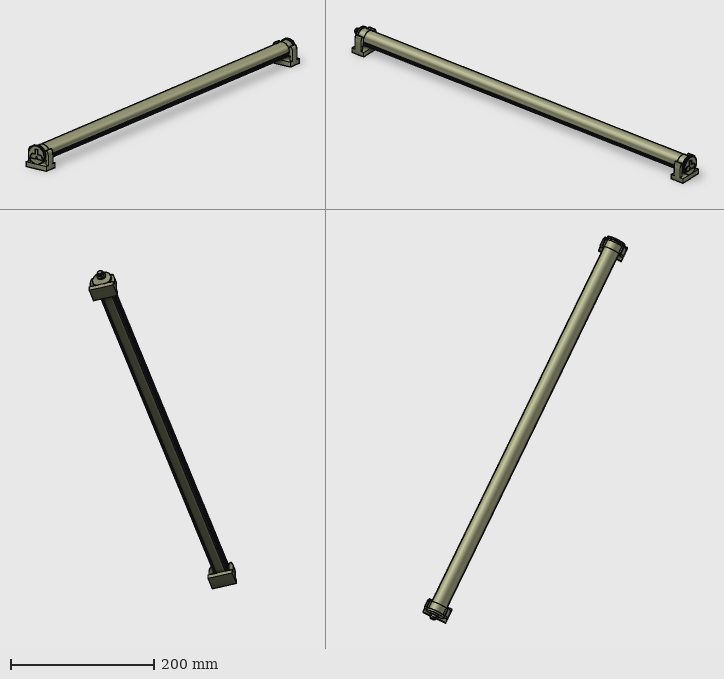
import cadquery as cq
import math

OVERALL_LENGTH = 596.5
MOUNT_SPAN = 590.0
OVERALL_HEIGHT = 34.0

FOOT_WIDTH = 35.0
FOOT_LENGTH = 21.0
FOOT_HEIGHT = 7.0

ARM_LENGTH = 11.0
ARM_CREST_SPACING = 29.0
ARM_SHOULDER_Z = 19.5
ARM_TOP_Z = 28.5
SHOULDER_RADIUS = 15.0
NOSE_GAP = 22.0
LEAD_IN_DROP = 3.0
NOSE_BOTTOM_Z = 15.5

TUBE_DIAMETER = 23.0
GROOVE_COUNT = 3
GROOVE_DEPTH = 1.0
GROOVE_HEIGHT = 1.5
GROOVE_PITCH = 3.0
TOP_GROOVE_Z = 18.0

JOURNAL_RADIUS = 12.0
FLANGE_DIAMETER = 27.0
FLANGE_THICKNESS = 3.0
RIM_GROOVE_WIDTH = 0.9
RIM_GROOVE_DEPTH = 0.5

RECESS_DEPTH = 1.0
RECESS_TOP_Z = 21.5
RECESS_SIDE_Z = 18.0
RECESS_BOTTOM_Z = 14.5
RECESS_TOP_WIDTH = 15.5
RECESS_WIDTH = 20.0
RECESS_NOTCH_WIDTH = 3.5
KEY_WIDTH = 5.0
KEY_TOP_Z = 28.5

CONNECTOR_Z = 25.0
COLLAR_RADIUS = 6.0
COLLAR_LENGTH = 2.5
NECK_RADIUS = 3.5
HEAD_RADIUS = 4.0
HEAD_LENGTH = 3.0
HEAD_CHAMFER = 0.9

tube_radius = TUBE_DIAMETER / 2
flange_radius = FLANGE_DIAMETER / 2
axis_height = OVERALL_HEIGHT - flange_radius
arm_inner_x = flange_radius
arm_crest_x = ARM_CREST_SPACING / 2
nose_x = NOSE_GAP / 2

arm_start = (FOOT_LENGTH - ARM_LENGTH) / 2
arm_end = arm_start + ARM_LENGTH
cover_thickness = arm_start - FLANGE_THICKNESS
far_arm_start = MOUNT_SPAN - arm_end
far_arm_end = MOUNT_SPAN - arm_start
lamp_end = far_arm_end + FLANGE_THICKNESS


def rod(radius, start, end, height=axis_height):
    """Round bar along Y from start to end, centred on X = 0."""
    return cq.Workplane("XZ", origin=(0, start, height)).circle(radius).extrude(start - end)


def make_bracket():
    """Foot with two arms that clip around the lamp journal."""
    foot = cq.Workplane("XY").box(
        FOOT_WIDTH, FOOT_LENGTH, FOOT_HEIGHT, centered=(True, False, False)
    )
    arm_wall_top_z = NOSE_BOTTOM_Z - (arm_inner_x - nose_x)
    arm = (
        cq.Workplane("XZ", origin=(0, arm_start, 0))
        .moveTo(arm_inner_x, 0)
        .lineTo(FOOT_WIDTH / 2, 0)
        .lineTo(FOOT_WIDTH / 2, ARM_SHOULDER_Z)
        .radiusArc((arm_crest_x, ARM_TOP_Z), -SHOULDER_RADIUS)
        .lineTo(arm_inner_x, ARM_TOP_Z)
        .lineTo(nose_x, ARM_TOP_Z - LEAD_IN_DROP)
        .lineTo(nose_x, NOSE_BOTTOM_Z)
        .lineTo(arm_inner_x, arm_wall_top_z)
        .close()
        .extrude(-ARM_LENGTH)
    )
    arms = arm.union(arm.mirror("YZ"))
    return foot.union(arms).cut(rod(JOURNAL_RADIUS, arm_start, arm_end))


def make_tube():
    """Tube between the brackets, with lengthwise grooves on both sides of its lower half."""
    length = far_arm_start - arm_end
    tube = rod(tube_radius, arm_end, far_arm_start)
    for index in range(GROOVE_COUNT):
        groove_z = TOP_GROOVE_Z - index * GROOVE_PITCH
        drop = axis_height - groove_z
        half_chord = math.sqrt(tube_radius**2 - drop**2)
        for side in (-1, 1):
            groove = cq.Workplane("XY").box(
                2 * GROOVE_DEPTH, length, GROOVE_HEIGHT, centered=(True, False, True)
            )
            tube = tube.cut(groove.translate((side * half_chord, arm_end, groove_z)))
    return tube


def make_face_recess():
    """Shallow recess with a key slot rising from its top edge."""
    return (
        cq.Workplane("XZ")
        .moveTo(0, KEY_TOP_Z)
        .lineTo(KEY_WIDTH / 2, KEY_TOP_Z)
        .lineTo(KEY_WIDTH / 2, RECESS_TOP_Z)
        .lineTo(RECESS_TOP_WIDTH / 2, RECESS_TOP_Z)
        .lineTo(RECESS_WIDTH / 2, RECESS_SIDE_Z)
        .lineTo(RECESS_WIDTH / 2, RECESS_BOTTOM_Z)
        .lineTo(RECESS_NOTCH_WIDTH / 2, RECESS_BOTTOM_Z)
        .lineTo(0, RECESS_SIDE_Z)
        .mirrorY()
        .extrude(-RECESS_DEPTH)
    )


def make_lamp():
    """Tube with a journal and a flange at each end; the near flange carries a cover plate."""
    groove_end = cover_thickness + RIM_GROOVE_WIDTH
    lamp = make_tube()
    lamp = lamp.union(rod(JOURNAL_RADIUS, arm_start, arm_end))
    lamp = lamp.union(rod(JOURNAL_RADIUS, far_arm_start, far_arm_end))
    lamp = lamp.union(rod(flange_radius, far_arm_end, lamp_end))
    lamp = lamp.union(rod(flange_radius, groove_end, arm_start))
    lamp = lamp.union(rod(flange_radius - RIM_GROOVE_DEPTH, cover_thickness, groove_end))
    lamp = lamp.union(rod(flange_radius, 0, cover_thickness))
    return lamp.cut(make_face_recess())


def make_connector():
    """Collar, neck and chamfered head standing on the far end of the lamp."""
    collar_end = lamp_end + COLLAR_LENGTH
    head_start = OVERALL_LENGTH - HEAD_LENGTH
    collar = rod(COLLAR_RADIUS, lamp_end, collar_end, CONNECTOR_Z)
    neck = rod(NECK_RADIUS, collar_end, head_start, CONNECTOR_Z)
    head = rod(HEAD_RADIUS, head_start, OVERALL_LENGTH, CONNECTOR_Z)
    head = head.faces(">Y").chamfer(HEAD_CHAMFER)
    return collar.union(neck).union(head)


brackets = []
for at_far_end in (False, True):
    bracket = make_bracket()
    if at_far_end:
        bracket = bracket.mirror("XZ").translate((0, MOUNT_SPAN, 0))
    brackets.append(bracket.val())
lamp = make_lamp()
connector = make_connector()
result = cq.Compound.makeCompound([lamp.val(), *brackets, connector.val()])